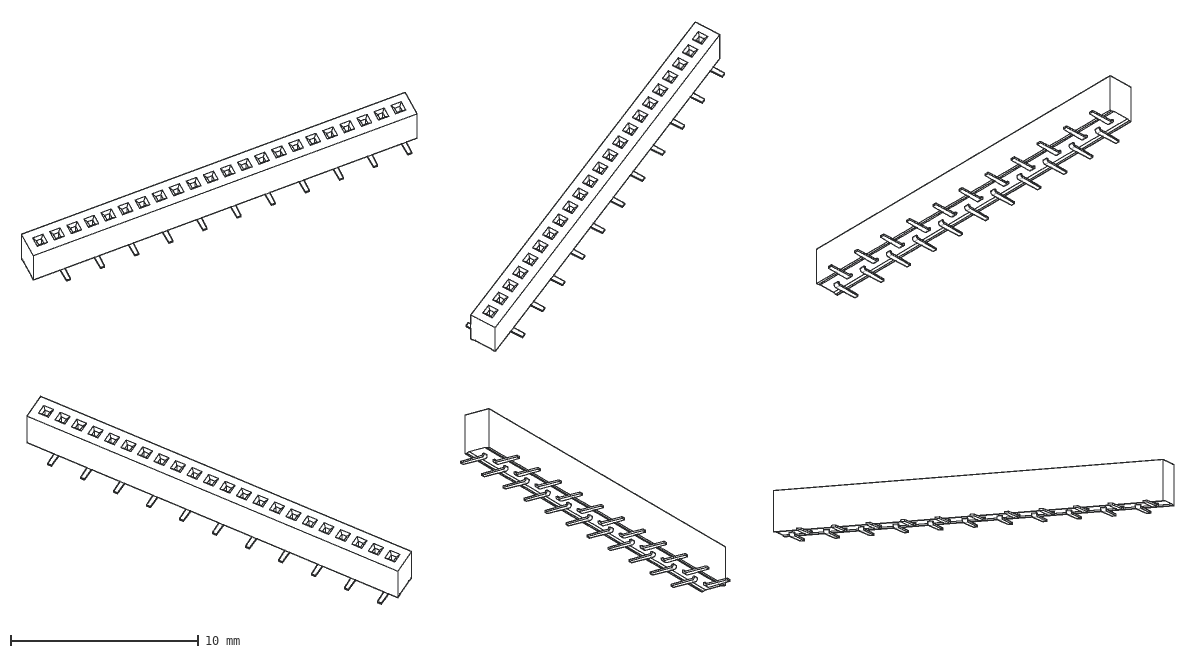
import cadquery as cq
import math

pin_count = 22
pitch = 1.0
end_margin = 0.75
body_length = (pin_count - 1) * pitch + 2 * end_margin
body_width = 1.55
overall_height = 2.4
overall_width = 2.95

body_bottom = 0.15
channel_roof = 0.2
channel_mouth_width = 1.3
channel_roof_width = 1.0

socket_mouth = 0.6
passage_width = 0.3
mouth_depth = (socket_mouth - passage_width) / 2
passage_floor = 1.0

strip_thickness = 0.1
strip_width = passage_width
inner_bend_radius = 0.05
taper_start = 0.36
tail_tip_width = 0.24
blade_rise = 0.2
blade_top = passage_floor + blade_rise


def make_housing():
    half_width = body_width / 2
    half_mouth = channel_mouth_width / 2
    half_roof = channel_roof_width / 2
    profile = [
        (-half_width, body_bottom),
        (-half_mouth, body_bottom),
        (-half_roof, channel_roof),
        (half_roof, channel_roof),
        (half_mouth, body_bottom),
        (half_width, body_bottom),
        (half_width, overall_height),
        (-half_width, overall_height),
    ]
    return cq.Workplane("XZ").polyline(profile).close().extrude(body_length / 2, both=True)


def make_socket(y):
    """Cutting tool for one socket: the tapered mouth and the passage below it."""
    mouth = (
        cq.Workplane("XY", origin=(0, y, overall_height))
        .rect(socket_mouth, socket_mouth)
        .workplane(offset=-mouth_depth)
        .rect(passage_width, passage_width)
        .loft(ruled=True)
    )
    passage = (
        cq.Workplane("XY", origin=(0, y, passage_floor))
        .rect(passage_width, passage_width)
        .extrude(overall_height - mouth_depth - passage_floor)
    )
    return mouth.union(passage)


def make_contact(y, side):
    """One contact; side is +1 for a tail toward +X and -1 for a tail toward -X."""
    half_thickness = strip_thickness / 2
    outer_radius = inner_bend_radius + strip_thickness
    bend_x = half_thickness + inner_bend_radius
    bend_z = outer_radius
    tail_tip = overall_width / 2

    def bend_midpoint(radius):
        offset = radius * math.sqrt(0.5)
        return (side * (bend_x - offset), bend_z - offset)

    strip = (
        cq.Workplane("XZ", origin=(0, y, 0))
        .moveTo(-side * half_thickness, blade_top)
        .lineTo(-side * half_thickness, bend_z)
        .threePointArc(bend_midpoint(outer_radius), (side * bend_x, 0))
        .lineTo(side * taper_start, 0)
        .lineTo(side * taper_start, strip_thickness)
        .lineTo(side * bend_x, strip_thickness)
        .threePointArc(bend_midpoint(inner_bend_radius), (side * half_thickness, bend_z))
        .lineTo(side * half_thickness, blade_top)
        .close()
        .extrude(strip_width / 2, both=True)
    )

    tail_outline = [
        (side * taper_start, -strip_width / 2),
        (side * tail_tip, -tail_tip_width / 2),
        (side * tail_tip, tail_tip_width / 2),
        (side * taper_start, strip_width / 2),
    ]
    tail = cq.Workplane("XY", origin=(0, y, 0)).polyline(tail_outline).close().extrude(strip_thickness)
    return strip.union(tail)


result = make_housing()
for index in range(pin_count):
    pin_y = (index - (pin_count - 1) / 2) * pitch
    tail_side = -1 if index % 2 == 0 else 1
    result = result.cut(make_socket(pin_y))
    result = result.union(make_contact(pin_y, tail_side))